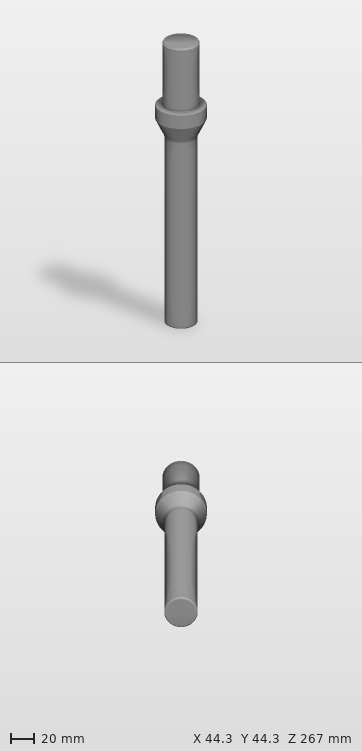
import cadquery as cq

total_length = 267.0
shank_length = 60.0
collar_height = 13.0
cone_height = 16.0
tip_length = 6.0

shank_diameter = 32.0
collar_diameter = 44.3
stem_diameter = 28.5

shank_chamfer_height = 1.5
shank_chamfer_width = 1.0
shank_root_fillet = 0.8
collar_chamfer = 0.3
cone_root_fillet = 3.7
tip_fillet = 1.5

shank_radius = shank_diameter / 2
collar_radius = collar_diameter / 2
stem_radius = stem_diameter / 2
collar_top = total_length - shank_length
collar_bottom = collar_top - collar_height
cone_bottom = collar_bottom - cone_height


def circle_edge(radius, level):
    """Selector for the circular edge of a given radius at a given level."""
    reach = radius + collar_chamfer / 2
    band = collar_chamfer / 2
    return cq.selectors.BoxSelector(
        (-reach, -reach, level - band), (reach, reach, level + band), boundingbox=True
    )


def make_holder():
    """Stem, cone, collar and shank turned as one solid standing on the tip."""
    profile = [
        (0, tip_length),
        (stem_radius, tip_length),
        (stem_radius, cone_bottom),
        (collar_radius, collar_bottom),
        (collar_radius, collar_top - collar_chamfer),
        (collar_radius - collar_chamfer, collar_top),
        (shank_radius, collar_top),
        (shank_radius, total_length - shank_chamfer_height),
        (shank_radius - shank_chamfer_width, total_length),
        (0, total_length),
    ]
    holder = cq.Workplane("XZ").polyline(profile).close().revolve(360, (0, 0), (0, 1))
    holder = holder.edges(circle_edge(stem_radius, cone_bottom)).fillet(cone_root_fillet)
    return holder.edges(circle_edge(shank_radius, collar_top)).fillet(shank_root_fillet)


def make_tip():
    """Short disc closing the lower end of the stem, rounded underneath."""
    return cq.Workplane("XY").circle(stem_radius).extrude(tip_length).faces("<Z").edges().fillet(tip_fillet)


holder = make_holder()
tip = make_tip()
result = cq.Compound.makeCompound([holder.val(), tip.val()])